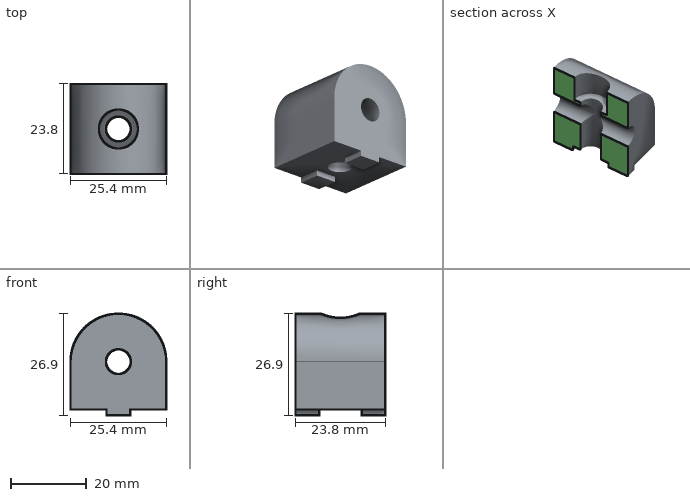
import cadquery as cq

width = 25.4
length = 23.82
total_height = 26.92
bore_diameter = 6.5
counterbore_diameter = 10.3
counterbore_depth = 8.08
tab_width = 6.38
tab_length = 6.33

top_radius = width / 2
body_bottom = -top_radius
tab_height = total_height - width


def make_body():
    """Block with a full-round top, extruded along Y."""
    return (
        cq.Workplane("XZ")
        .moveTo(-top_radius, body_bottom)
        .lineTo(top_radius, body_bottom)
        .lineTo(top_radius, 0)
        .threePointArc((0, top_radius), (-top_radius, 0))
        .close()
        .extrude(length / 2, both=True)
    )


def make_tabs():
    """Locating tabs under the body, flush with its two end faces."""
    tab_offset = (length - tab_length) / 2
    return (
        cq.Workplane("XY", origin=(0, 0, body_bottom))
        .pushPoints([(0, -tab_offset), (0, tab_offset)])
        .rect(tab_width, tab_length)
        .extrude(-tab_height)
    )


def make_cross_bore():
    """Bore through the body along Y, on the axis of the rounded top."""
    return cq.Workplane("XZ").circle(bore_diameter / 2).extrude(length / 2, both=True)


def make_screw_hole():
    """Vertical through hole with a counterbore sunk from the top."""
    top_plane = cq.Workplane("XY", origin=(0, 0, top_radius))
    shank = top_plane.circle(bore_diameter / 2).extrude(-total_height)
    head = top_plane.circle(counterbore_diameter / 2).extrude(-counterbore_depth)
    return shank.union(head)


result = make_body().union(make_tabs()).cut(make_cross_bore()).cut(make_screw_hole())